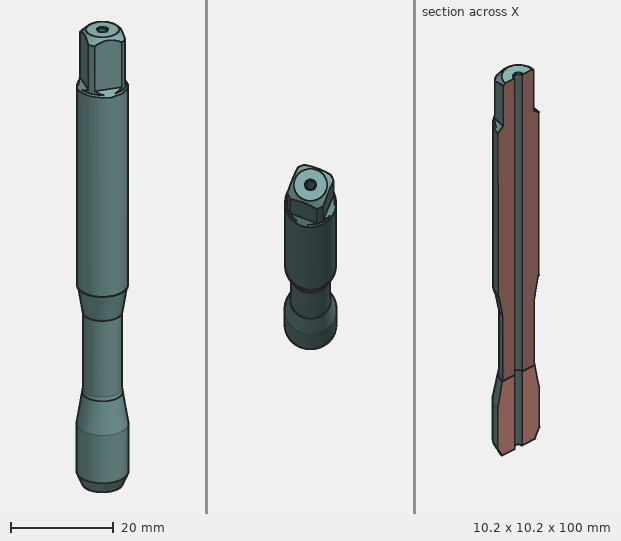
import cadquery as cq

tool_length = 100.0
lead_top = 2.6
thread_top = 13.2
body_joint = 20.1
neck_bottom = 21.0
neck_top = 37.7
shoulder_bottom = 38.0
shank_bottom = 43.6
shank_top = 87.6

tip_diameter = 8.0
thread_diameter = 10.2
neck_diameter = 7.7
shoulder_diameter = 7.9
shank_diameter = 10.0
shank_cone_diameter = 9.7
square_corner_diameter = 9.3
top_face_diameter = 6.5
coolant_diameter = 1.7
mouth_diameter = 2.2

square_width = 7.5
square_bottom = 88.7

tip_radius = tip_diameter / 2
thread_radius = thread_diameter / 2
neck_radius = neck_diameter / 2
shoulder_radius = shoulder_diameter / 2
shank_radius = shank_diameter / 2
shank_cone_radius = shank_cone_diameter / 2
corner_radius = square_corner_diameter / 2
top_face_radius = top_face_diameter / 2
coolant_radius = coolant_diameter / 2
mouth_radius = mouth_diameter / 2

cone_taper = (thread_radius - neck_radius) / (neck_bottom - thread_top)
joint_radius = neck_radius + cone_taper * (neck_bottom - body_joint)

shank_chamfer_top = shank_top + shank_radius - corner_radius
top_chamfer_bottom = tool_length - (corner_radius - top_face_radius)
mouth_bottom = tool_length - (mouth_radius - coolant_radius)


def revolve_about_axis(outline):
    """Turn an (r, z) outline into a solid of revolution about Z."""
    return cq.Workplane("XZ").polyline(outline).close().revolve(360, (0, 0), (0, 1))


def make_cutting_head():
    """Threaded end with its tapered lead, back cone and coolant bore."""
    return revolve_about_axis([
        (coolant_radius, 0),
        (tip_radius, 0),
        (thread_radius, lead_top),
        (thread_radius, thread_top),
        (joint_radius, body_joint),
        (coolant_radius, body_joint),
    ])


def make_square_envelope():
    """Square bar whose flats flare out at 45 degrees at their foot, wide enough below to clear the shank."""
    flare_height = shank_radius
    flare_bottom = square_bottom - flare_height
    flare_width = square_width + 2 * flare_height
    bar_height = tool_length - square_bottom
    lower = cq.Workplane("XY").rect(flare_width, flare_width).extrude(flare_bottom)
    flare = (
        cq.Workplane("XY", origin=(0, 0, flare_bottom))
        .rect(flare_width, flare_width)
        .workplane(offset=flare_height)
        .rect(square_width, square_width)
        .loft(ruled=True)
    )
    bar = (
        cq.Workplane("XY", origin=(0, 0, square_bottom))
        .rect(square_width, square_width)
        .extrude(bar_height)
    )
    return lower.union(flare).union(bar)


def make_shank():
    """Neck, shank and drive square with the coolant bore and its countersunk mouth."""
    turned = revolve_about_axis([
        (coolant_radius, body_joint),
        (joint_radius, body_joint),
        (neck_radius, neck_bottom),
        (neck_radius, neck_top),
        (shoulder_radius, shoulder_bottom),
        (shank_cone_radius, shank_bottom),
        (shank_radius, shank_bottom),
        (shank_radius, shank_top),
        (corner_radius, shank_chamfer_top),
        (corner_radius, top_chamfer_bottom),
        (top_face_radius, tool_length),
        (mouth_radius, tool_length),
        (coolant_radius, mouth_bottom),
    ])
    return turned.intersect(make_square_envelope())


cutting_head = make_cutting_head()
shank = make_shank()

result = cq.Compound.makeCompound([cutting_head.val(), *shank.vals()])